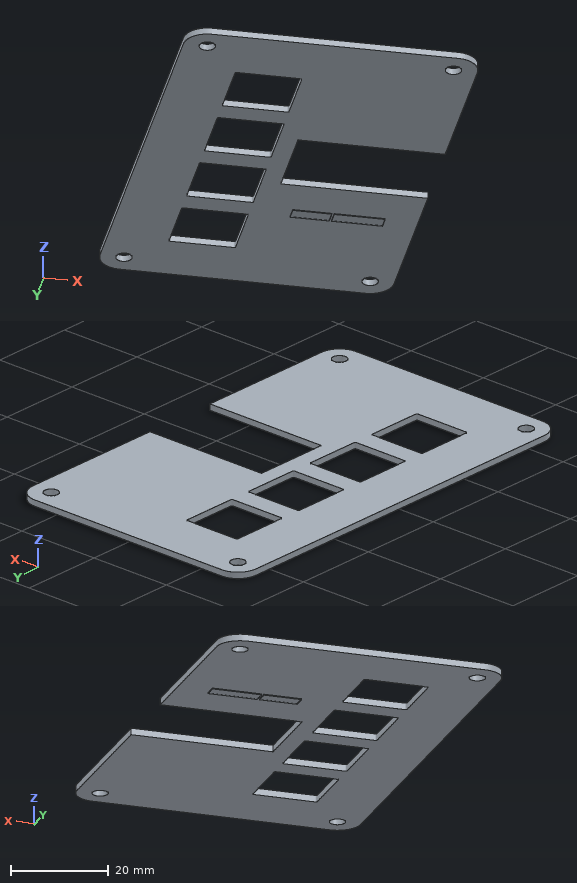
import cadquery as cq

plate_width = 61.8
plate_length = 99.0
total_height = 1.7
raised_mark_height = 0.2
plate_thickness = total_height - raised_mark_height
corner_radius = 5.0

hole_diameter = 3.4
hole_spacing_x = plate_width - 2 * corner_radius
hole_spacing_y = plate_length - 2 * corner_radius

opening_count = 4
opening_size = 14.0
opening_pitch = 19.0
opening_corner_radius = 0.3
openings_center_x = -11.1
openings_center_y = 0.6

notch_depth = plate_width / 2
notch_height = 18.4
notch_center_y = -0.8

raised_mark_spans = [(4.5, 8.2), (13.2, 10.7)]
raised_mark_width = 2.9
raised_mark_center_y = 19.8


def make_plate():
    plate = cq.Workplane("XY").box(
        plate_width, plate_length, plate_thickness, centered=(True, True, False)
    )
    return plate.edges("|Z").fillet(corner_radius)


def make_mounting_holes():
    return (
        cq.Workplane("XY")
        .rect(hole_spacing_x, hole_spacing_y, forConstruction=True)
        .vertices()
        .circle(hole_diameter / 2)
        .extrude(plate_thickness)
    )


def make_switch_openings():
    return (
        cq.Workplane("XY")
        .center(openings_center_x, openings_center_y)
        .rarray(opening_pitch, opening_pitch, 1, opening_count)
        .rect(opening_size, opening_size)
        .extrude(plate_thickness)
        .edges("|Z")
        .fillet(opening_corner_radius)
    )


def make_notch():
    return (
        cq.Workplane("XY")
        .center(plate_width / 2 - notch_depth / 2, notch_center_y)
        .rect(notch_depth, notch_height)
        .extrude(plate_thickness)
    )


def make_raised_mark(left_end, length):
    return (
        cq.Workplane("XY")
        .center(left_end + length / 2, raised_mark_center_y)
        .rect(length, raised_mark_width)
        .extrude(-raised_mark_height)
    )


result = make_plate()
result = result.cut(make_mounting_holes())
result = result.cut(make_switch_openings())
result = result.cut(make_notch())
for left_end, length in raised_mark_spans:
    result = result.union(make_raised_mark(left_end, length))